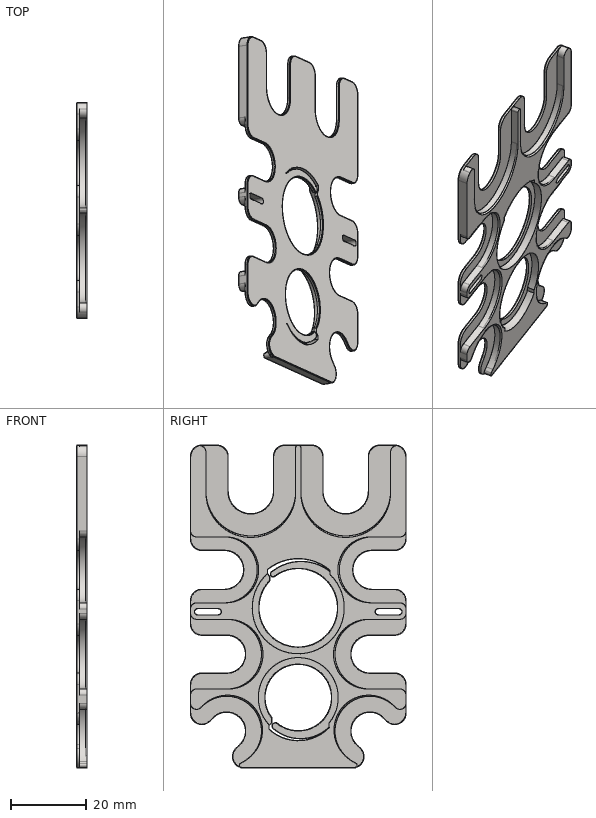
import cadquery as cq
import math

WIDTH = 57.16
HEIGHT = 85.6
THICKNESS = 2.8
HALF_WIDTH = WIDTH / 2
TOLERANCE = 0.01

SKIN = 0.8
BACK = THICKNESS - SKIN
FRONT_CHAMFER = 0.2
RIM = 0.4

OUTER_CORNER = 3.0
BACK_CORNER = 1.6
FINGER_TIP = 1.7
SPINE_CORNER = 0.6
FOOT_CORNER = 0.65

TOP_SLOT = (12.58, 73.4, 90, 6.0, 11.9, 0)
UPPER_NOTCH = (19.65, 52.5, 0, 5.15, 8.75, 0)
LOWER_NOTCH = (19.0, 30.15, 0, 5.0, 9.25, 0)
CORNER_NOTCH = (19.0, 9.75, -45, 5.0, 9.25, 15)
EDGE_OPENINGS = (TOP_SLOT, UPPER_NOTCH, LOWER_NOTCH, CORNER_NOTCH)
OPENING_REACH = 40.0

HOLE_RECESS_MARGIN = 1.8

UPPER_HOLE = {
    "z": 42.45,
    "radius": 10.4,
    "slit_radius": 13.0,
    "slit_start": 8.4,
    "tongue_shift": 0.75,
    "tongue_radius": 12.33,
    "tip_across": 6.6,
    "tip_out": 8.95,
    "tip_radius": 0.8,
    "throat": (7.5, 6.8),
    "throat_end": (7.5, 8.1),
    "slit_end": (8.1, 9.1),
}
LOWER_HOLE = {
    "z": 18.65,
    "radius": 8.8,
    "slit_radius": 11.4,
    "slit_start": 8.2,
    "tongue_shift": 0.6,
    "tongue_radius": 10.95,
    "tip_across": 6.0,
    "tip_out": 7.6,
    "tip_radius": 0.95,
    "throat": (7.0, 5.2),
    "throat_end": (7.0, 6.7),
    "slit_end": (7.75, 7.4),
}

STRAP_SLOT_Z = 41.4
STRAP_SLOT_HEIGHT = 1.6
STRAP_SLOT_INNER_Y = 20.45
STRAP_SLOT_OUTER_Y = 27.5


def sketch_plane(x):
    """YZ workplane at the given X, local axes equal to Y and Z."""
    return cq.Workplane("YZ", origin=(x, 0, 0))


def disk(y, z, radius, x_start, depth):
    return sketch_plane(x_start).center(y, z).circle(radius).extrude(depth)


def prism(points, x_start, depth):
    return sketch_plane(x_start).polyline(points).close().extrude(depth)


def envelope(x_start, depth):
    corners = [(-HALF_WIDTH, 0), (HALF_WIDTH, 0), (HALF_WIDTH, HEIGHT), (-HALF_WIDTH, HEIGHT)]
    return prism(corners, x_start, depth)


def both_sides(solid):
    return solid.union(solid.mirror("XZ"))


def open_slot(y, z, direction, radius, lower_turn, x_start, depth):
    """Round-bottomed slot running outward; its lower wall may turn inward, tangent to the arc."""
    turn = math.radians(lower_turn)
    lower_start = (radius * math.sin(turn), -radius * math.cos(turn))
    lower_run = OPENING_REACH - lower_start[0]
    lower_end_height = lower_start[1] + lower_run * math.tan(turn)
    return (
        sketch_plane(x_start)
        .center(y, z)
        .transformed(rotate=(0, 0, direction))
        .moveTo(*lower_start)
        .lineTo(OPENING_REACH, lower_end_height)
        .lineTo(OPENING_REACH, radius)
        .lineTo(0, radius)
        .threePointArc((-radius, 0), lower_start)
        .close()
        .extrude(depth)
    )


def slanted_rim(y, z, direction, radius, lower_turn):
    """Cutter that leans the recess wall inward over the last stretch before the back face."""
    lean = math.radians(direction)
    straight = open_slot(y, z, direction, radius, lower_turn, THICKNESS - RIM, RIM)
    profile = straight.faces("<X").wires().val()
    shift = cq.Vector(RIM, -RIM * math.cos(lean), -RIM * math.sin(lean))
    return cq.Workplane(cq.Solid.makeLoft([profile, profile.translate(shift)], True))


def on_side(edge):
    return HALF_WIDTH - abs(edge.Center().y) < TOLERANCE


def on_top(edge):
    return HEIGHT - edge.Center().z < TOLERANCE


def on_bottom(edge):
    return edge.Center().z < TOLERANCE


def on_outline(edge):
    return on_side(edge) or on_top(edge) or on_bottom(edge)


def is_top_corner(edge):
    return on_side(edge) and on_top(edge)


def is_side_mouth(edge):
    return on_side(edge) and not on_top(edge)


def is_spine_corner(edge):
    return on_top(edge) and abs(edge.Center().y) < TOP_SLOT[0]


def fillet_where(layer, test, radius):
    """Round the edges along X that pass the test."""
    edges = [edge for edge in layer.edges("|X").vals() if test(edge)]
    return layer.newObject(edges).fillet(radius)


def finger_tip_cut():
    """Rounds the inner corner of an outer finger, tangent to the finger's outer corner."""
    inner_y = TOP_SLOT[0] + TOP_SLOT[4]
    arc_y = inner_y + FINGER_TIP
    centre_distance = OUTER_CORNER - FINGER_TIP
    tangent_angle = math.acos((arc_y - HALF_WIDTH + OUTER_CORNER) / centre_distance)
    arc_z = HEIGHT - OUTER_CORNER + centre_distance * math.sin(tangent_angle)

    def on_arc(angle):
        return arc_y + FINGER_TIP * math.cos(angle), arc_z + FINGER_TIP * math.sin(angle)

    tangent_point = on_arc(tangent_angle)
    return (
        sketch_plane(SKIN)
        .moveTo(inner_y, arc_z)
        .threePointArc(on_arc((tangent_angle + math.pi) / 2), tangent_point)
        .lineTo(tangent_point[0], HEIGHT)
        .lineTo(inner_y, HEIGHT)
        .close()
        .extrude(BACK)
    )


def tongue_window(hole, x_start, depth):
    """Area holding a tongue and its slit, built above a hole centred on the origin."""
    slit_radius = hole["slit_radius"]
    start = hole["slit_start"]
    floor = hole["throat"][1]
    window = [
        (start, slit_radius),
        (start, floor),
        (-hole["throat"][0], floor),
        (-hole["throat_end"][0], hole["throat_end"][1]),
        (-hole["slit_end"][0], hole["slit_end"][1]),
        (-hole["slit_end"][0], slit_radius),
    ]
    return disk(0, 0, slit_radius, x_start, depth).intersect(prism(window, x_start, depth))


def tongue_slit(hole):
    """Crescent slit with a throat into the hole, built above a hole centred on the origin."""
    tip_y = -hole["tip_across"]
    tip_z = hole["tip_out"]
    past_tip = [(0, 0), (2 * tip_y, 2 * tip_z), (2 * tip_y, 0)]
    tongue = disk(hole["tongue_shift"], 0, hole["tongue_radius"], 0, SKIN)
    tongue = tongue.cut(prism(past_tip, 0, SKIN))
    tongue = tongue.union(disk(tip_y, tip_z, hole["tip_radius"], 0, SKIN))
    return tongue_window(hole, 0, SKIN).cut(tongue)


def make_skin():
    skin = envelope(0, SKIN)
    for y, z, direction, radius, _, _ in EDGE_OPENINGS:
        skin = skin.cut(both_sides(open_slot(y, z, direction, radius, 0, 0, SKIN)))
    skin = fillet_where(skin, on_outline, OUTER_CORNER)
    for hole in (UPPER_HOLE, LOWER_HOLE):
        skin = skin.cut(disk(0, hole["z"], hole["radius"], 0, SKIN))
    skin = skin.faces("<X").chamfer(FRONT_CHAMFER)
    upper_slit = tongue_slit(UPPER_HOLE)
    lower_slit = tongue_slit(LOWER_HOLE).mirror("XY")
    skin = skin.cut(upper_slit.translate((0, 0, UPPER_HOLE["z"])))
    return skin.cut(lower_slit.translate((0, 0, LOWER_HOLE["z"])))


def make_back():
    back = envelope(SKIN, BACK)
    for y, z, direction, _, radius, lower_turn in EDGE_OPENINGS:
        back = back.cut(both_sides(open_slot(y, z, direction, radius, lower_turn, SKIN, BACK)))
    back = fillet_where(back, is_spine_corner, SPINE_CORNER)
    back = fillet_where(back, is_top_corner, OUTER_CORNER)
    back = fillet_where(back, is_side_mouth, BACK_CORNER)
    back = fillet_where(back, on_bottom, FOOT_CORNER)
    back = back.cut(both_sides(finger_tip_cut()))
    for y, z, direction, _, radius, lower_turn in EDGE_OPENINGS:
        back = back.cut(both_sides(slanted_rim(y, z, direction, radius, lower_turn)))
    for hole in (UPPER_HOLE, LOWER_HOLE):
        back = back.cut(disk(0, hole["z"], hole["radius"] + HOLE_RECESS_MARGIN, SKIN, BACK))
    upper_window = tongue_window(UPPER_HOLE, SKIN, BACK)
    lower_window = tongue_window(LOWER_HOLE, SKIN, BACK).mirror("XY")
    back = back.cut(upper_window.translate((0, 0, UPPER_HOLE["z"])))
    return back.cut(lower_window.translate((0, 0, LOWER_HOLE["z"])))


def strap_slot():
    length = STRAP_SLOT_OUTER_Y - STRAP_SLOT_INNER_Y
    middle_y = (STRAP_SLOT_OUTER_Y + STRAP_SLOT_INNER_Y) / 2
    slot = sketch_plane(0).center(middle_y, STRAP_SLOT_Z).slot2D(length, STRAP_SLOT_HEIGHT)
    return slot.extrude(THICKNESS)


result = make_skin().union(make_back()).cut(both_sides(strap_slot()))